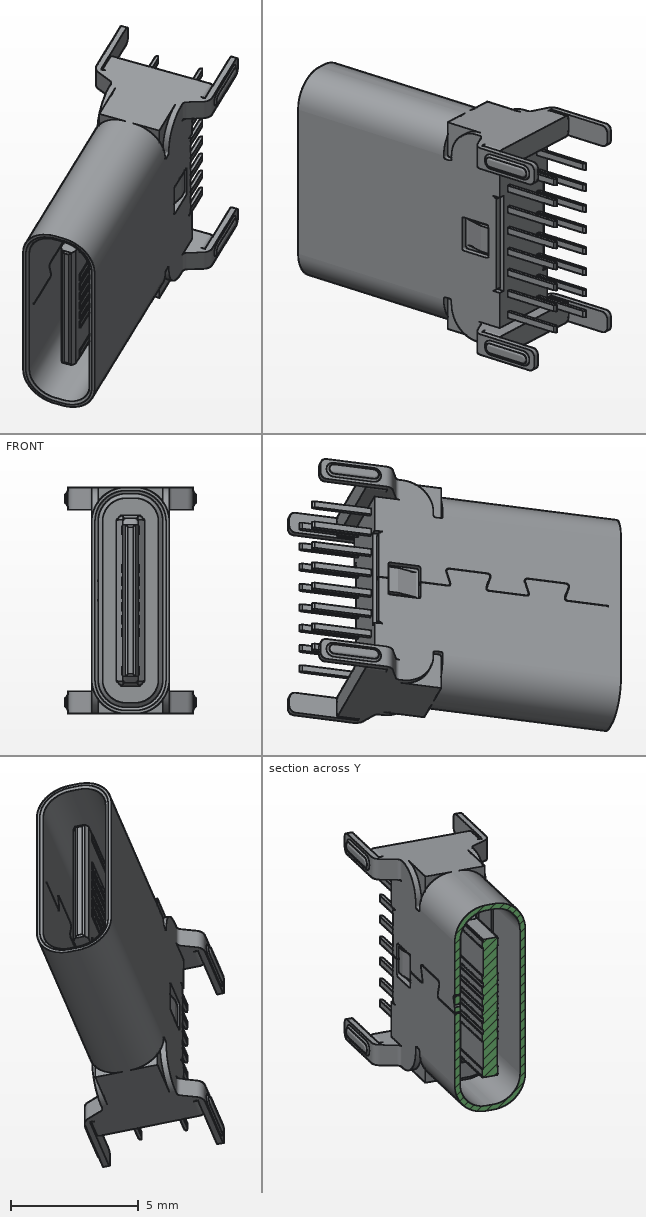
import cadquery as cq
import math


half_width = 1.52
half_height = 4.42
corner_radius = 1.34
wall = 0.25
tube_length = 7.22
lip_width = 0.12
mouth_bevel_depth = 0.06

floor_depth = 6.21
floor_bevel = 0.17
tongue_tip = 0.78
tongue_half_thickness = 0.31
tongue_half_height = 2.97
tongue_end_bevel = 0.1
nose_flat = 0.1
nose_knee = 0.2
nose_knee_depth = 0.04
nose_depth = 0.2
root_half_thickness = 0.56
root_half_height = 3.34
root_corner = 0.2
root_front_corner = 0.06
root_depth = 0.25
flare_depth = 0.25
flare_edge_radius = 0.16
flare_half_height = 3.22

contact_span = 5.5
contact_pitch = contact_span / 11
contact_slots = (0.5, 1.5, 2.5, 5.5)
contact_width = 0.31
contact_height = 0.04
contact_start = 1.37

body_end = 9.99
block_half_width = half_width - wall
plate_front = 7.6
plate_corner_radius = 1.24
slot_half_height = 2.95
slot_corner_radius = 0.1
notch_front = 9.82
notch_half_height = 2.04
notch_relief_length = 0.16
notch_relief_width = 0.1

leg_end = 12.42
leg_outer = 2.45
leg_thickness = 0.25
leg_inner = leg_outer - leg_thickness
leg_height = 0.88
leg_corner_radius = 0.25
lug_end = 10.51
lug_edge_radius = 0.17
lug_edge_start = 9.65
bend_start = 9.1
bend_end = 9.54
inner_bend_radius = 0.19
outer_bend_radius = 0.39
leg_center = half_height - leg_height / 2

rib_center = 11.08
rib_length = 2.01
rib_height = 0.42
rib_rise = 0.12
rib_edge_radius = 0.105
rib_foot_spread = 0.1
rib_foot_rise = 0.06

pin_count = 8
pin_span = 6.3
pin_pitch = pin_span / (pin_count - 1)
pin_row = 0.93
pin_width = 0.15
pin_height = 0.26
pin_end = 12.36
pin_bevel = 0.05
pin_bevel_length = 0.1

window_front = 8.12
window_back = 9.43
window_height = 1.43
window_corner_radius = 0.1
latch_front = 8.25
latch_crest = 9.02
latch_back = 9.39
latch_half_height = 0.55
latch_rise = 0.19

seam_gap = 0.02
seam_start = 0.52
dovetail_centers = (3.0, 6.19)
dovetail_neck = 1.37
dovetail_head = 1.84
dovetail_height = 0.76
dovetail_radius = 0.11


def box(x0, x1, y0, y1, z0, z1):
    """Box between opposite corners."""
    return cq.Workplane("XY").box(x1 - x0, y1 - y0, z1 - z0, centered=False).translate((x0, y0, z0))


def plane_at(y):
    """Work plane facing +Y: local x runs along -X, local y along +Z."""
    return cq.Workplane(cq.Plane(origin=(0, y, 0), xDir=(-1, 0, 0), normal=(0, 1, 0)))


def side_prism(outline, x0, x1):
    """Extrude a (Y, Z) outline from x0 to x1."""
    return cq.Workplane("YZ").polyline(outline).close().extrude(x1 - x0).translate((x0, 0, 0))


def both_sides(solid):
    """A solid together with its mirror image across X = 0."""
    return solid.union(solid.mirror("YZ"))


def both_ends(solid):
    """A solid together with its mirror image across Z = 0."""
    return solid.union(solid.mirror("XY"))


def tube_section(inset):
    """Rounded cross-section of the tube, moved inward by inset."""
    width = 2 * (half_width - inset)
    height = 2 * (half_height - inset)
    return cq.Sketch().rect(width, height).vertices().fillet(corner_radius - inset)


def tube_prism(inset, y0, y1):
    """Straight prism of the inset tube section from y0 to y1."""
    return plane_at(y0).placeSketch(tube_section(inset)).extrude(y1 - y0)


def loft_sections(section0, y0, section1, y1):
    """Loft between two sections lying at y0 and y1."""
    far_section = section1.moved(cq.Location(cq.Vector(0, 0, y1 - y0)))
    return plane_at(y0).placeSketch(section0, far_section).loft()


def make_tube():
    """Tube with a bevelled mouth and a raised insert floor."""
    floor_edge = floor_depth + floor_bevel
    cavity = tube_prism(wall, 0, floor_edge)
    mouth = loft_sections(tube_section(lip_width), 0, tube_section(wall), mouth_bevel_depth)
    floor = loft_sections(tube_section(wall + floor_bevel), floor_depth, tube_section(wall), floor_edge)
    return tube_prism(0, 0, tube_length).cut(cavity).cut(mouth).union(floor)


def make_blade():
    """Flat tongue blade with a bevelled nose."""
    half_outline = [(tongue_half_thickness, floor_depth), (tongue_half_thickness, tongue_tip + nose_depth),
                    (nose_knee, tongue_tip + nose_knee_depth), (nose_flat, tongue_tip)]
    mirrored = [(-x, y) for x, y in reversed(half_outline)]
    thickness_profile = (
        cq.Workplane("XY").polyline(half_outline + mirrored).close()
        .extrude(tongue_half_height, both=True)
    )
    bevel_start = tongue_half_height - tongue_end_bevel
    bevel_back = tongue_tip + nose_knee_depth
    height_profile = side_prism(
        [(floor_depth, -tongue_half_height), (bevel_back, -tongue_half_height), (tongue_tip, -bevel_start),
         (tongue_tip, bevel_start), (bevel_back, tongue_half_height), (floor_depth, tongue_half_height)],
        -tongue_half_thickness, tongue_half_thickness,
    )
    return thickness_profile.intersect(height_profile)


def rectangle_corners(half_x, half_z):
    """Centred rectangle with its corners selected."""
    return cq.Sketch().rect(2 * half_x, 2 * half_z).vertices()


def make_tongue():
    """Tongue blade with flared ends and a wedge-shaped root."""
    root_start = floor_depth - root_depth
    root = loft_sections(
        rectangle_corners(tongue_half_thickness, flare_half_height).chamfer(root_front_corner), root_start,
        rectangle_corners(root_half_thickness, root_half_height).chamfer(root_corner), floor_depth,
    )
    flare = loft_sections(
        rectangle_corners(tongue_half_thickness, tongue_half_height).fillet(flare_edge_radius),
        root_start - flare_depth,
        rectangle_corners(tongue_half_thickness, flare_half_height).fillet(flare_edge_radius),
        root_start,
    )
    return make_blade().union(flare).union(root)


def make_contacts():
    """Contact strips standing slightly proud of both tongue faces."""
    reach = tongue_half_thickness + contact_height
    strips = cq.Workplane("XY")
    for slot in contact_slots:
        z0 = slot * contact_pitch - contact_width / 2
        strips = strips.union(box(-reach, reach, contact_start, floor_depth, z0, z0 + contact_width))
    return both_ends(strips)


def make_body():
    """Insert block between two side plates, with relief slots behind the tube."""
    block = box(-block_half_width, block_half_width, tube_length, body_end, -half_height, half_height)
    web = box(block_half_width, half_width, tube_length, plate_front + plate_corner_radius,
              -half_height + plate_corner_radius, half_height - plate_corner_radius)
    slot = (
        box(block_half_width, half_width, tube_length, plate_front, slot_half_height, half_height)
        .edges("|X and <Z").fillet(slot_corner_radius)
    )
    plate = (
        box(block_half_width, half_width, plate_front, body_end, -half_height, half_height)
        .edges("|X and <Y").fillet(plate_corner_radius)
    )
    side = plate.union(web).cut(both_ends(slot))
    return block.union(both_sides(side))


def make_rib():
    """Rounded rib with a sloped foot on the outer face of a leg."""
    face = cq.Workplane("YZ", origin=(leg_outer, rib_center, leg_center))
    rib = face.slot2D(rib_length, rib_height).extrude(rib_rise).faces(">X").edges().fillet(rib_edge_radius)
    foot_length = rib_length + 2 * rib_foot_spread
    foot_height = rib_height + 2 * rib_foot_spread
    foot_taper = math.degrees(math.atan2(rib_foot_spread, rib_foot_rise))
    foot = face.slot2D(foot_length, foot_height).extrude(rib_foot_rise, taper=foot_taper)
    return rib.union(foot)


def make_leg_pair():
    """Upper lug with a bent leg on each side."""
    z0 = half_height - leg_height
    outline = [
        (0, bend_start - leg_thickness), (half_width, bend_start - leg_thickness),
        (half_width, bend_start), (leg_outer, bend_end), (leg_outer, leg_end),
        (leg_inner, leg_end), (leg_inner, lug_end), (0, lug_end),
    ]
    half = cq.Workplane("XY").polyline(outline).close().extrude(leg_height).translate((0, 0, z0))
    for x, y, radius in ((half_width, bend_start, inner_bend_radius),
                         (leg_outer, bend_end, outer_bend_radius)):
        half = half.edges(cq.selectors.NearestToPointSelector((x, y, leg_center))).fillet(radius)
    half = half.faces(">Y").edges("|X").fillet(leg_corner_radius)

    groove_x = leg_inner - lug_edge_radius
    groove = box(groove_x, leg_inner, lug_edge_start, lug_end, z0, half_height)
    rounded = (
        box(0, leg_inner, lug_edge_start, lug_end, z0, half_height)
        .edges("|Y and >X").fillet(lug_edge_radius)
    )
    return both_sides(half.cut(groove.cut(rounded)).union(make_rib()))


def make_pins():
    """Two rows of solder pins with tips bevelled on their broad faces."""
    half = pin_width / 2
    tip = half - pin_bevel
    outline = [(-half, body_end), (half, body_end), (half, pin_end - pin_bevel_length), (tip, pin_end),
               (-tip, pin_end), (-half, pin_end - pin_bevel_length)]
    pin = cq.Workplane("XY").polyline(outline).close().extrude(pin_height / 2, both=True)
    pins = cq.Workplane("XY")
    for index in range(pin_count):
        z = index * pin_pitch - pin_span / 2
        pins = pins.union(pin.translate((pin_row, 0, z)))
    return both_sides(pins)


def make_notch():
    """Shallow notch in the rear edge of a side plate, with a pointed relief at each corner."""
    floor_half = notch_half_height - notch_relief_width
    point = notch_front - notch_relief_length
    outline = [
        (body_end, -notch_half_height), (point, -notch_half_height), (notch_front, -floor_half),
        (notch_front, floor_half), (point, notch_half_height), (body_end, notch_half_height),
    ]
    return side_prism(outline, block_half_width, half_width)


def make_window():
    """Latch window through a side plate, leaving the ramped latch of the insert inside it."""
    window = (
        box(block_half_width, half_width, window_front, window_back,
            -window_height / 2, window_height / 2)
        .edges("|X").fillet(window_corner_radius)
    )
    crest_x = block_half_width + latch_rise
    latch_outline = [(block_half_width, latch_front), (crest_x, latch_crest),
                     (crest_x, latch_back), (block_half_width, latch_back)]
    latch = cq.Workplane("XY").polyline(latch_outline).close().extrude(latch_half_height, both=True)
    return window.cut(latch)


def make_seam():
    """Thin dovetailed slit through the -X wall, running along Y."""
    depth = 2 * dovetail_height
    outline = [(seam_start, -depth), (seam_start, 0)]
    for center in dovetail_centers:
        outline += [
            (center - dovetail_neck / 2, 0), (center - dovetail_head / 2, dovetail_height),
            (center + dovetail_head / 2, dovetail_height), (center + dovetail_neck / 2, 0),
        ]
    outline += [(notch_front, 0), (notch_front, -depth)]
    dovetail_zone = cq.selectors.BoxSelector((-half_width, window_front, -seam_gap),
                                             (0, dovetail_centers[0] - dovetail_head, depth))
    lower = (
        side_prism(outline, -half_width, -block_half_width)
        .edges("|X").edges(dovetail_zone).fillet(dovetail_radius)
    )
    widened = lower.faces("<X").wires().toPending().workplane().offset2D(seam_gap).extrude(-wall)
    span = box(-half_width, -block_half_width, seam_start, notch_front, -seam_gap, depth)
    window = box(-half_width, -block_half_width, window_front, window_back, -seam_gap, seam_gap)
    return widened.cut(lower).intersect(span).cut(window)


result = (
    make_tube()
    .union(make_body())
    .union(both_ends(make_leg_pair()))
    .union(make_pins())
    .union(make_tongue())
    .union(make_contacts())
    .cut(both_sides(make_notch()))
    .cut(make_seam())
    .cut(both_sides(make_window()))
)